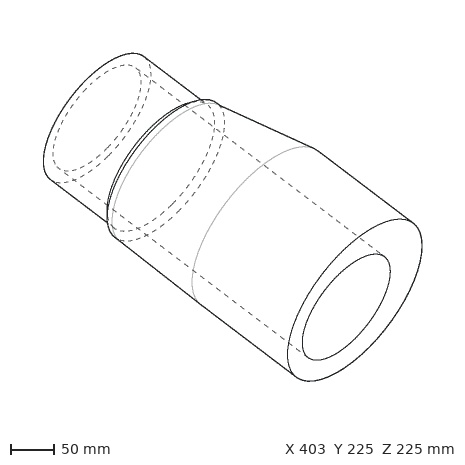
import cadquery as cq

total_length = 403.0
large_diameter = 225.0
small_diameter = 179.7
collar_diameter = 196.3
bore_diameter = 147.0

collar_start = 103.0
chamfer_length = 8.0
collar_length = 8.0
large_start = 248.5

chamfer_end = collar_start + chamfer_length
taper_start = chamfer_end + collar_length

small_axis_y = (collar_diameter - large_diameter) / 2


def circle_at(x, diameter, axis_y):
    """Circle facing +X, centred at the given station and axis."""
    return cq.Workplane("YZ", origin=(x, axis_y, 0)).circle(diameter / 2)


def cylinder(start, end, diameter, axis_y):
    return circle_at(start, diameter, axis_y).extrude(end - start)


def transition(start, end, start_diameter, end_diameter, start_y, end_y):
    """Straight-sided loft between two circles whose axes may differ."""
    start_wire = circle_at(start, start_diameter, start_y).wires().val()
    end_wire = circle_at(end, end_diameter, end_y).wires().val()
    return cq.Workplane(cq.Solid.makeLoft([start_wire, end_wire], True))


small_pipe = cylinder(0, collar_start, small_diameter, small_axis_y)
collar_chamfer = transition(
    collar_start, chamfer_end, small_diameter, collar_diameter, small_axis_y, small_axis_y
)
collar = cylinder(chamfer_end, taper_start, collar_diameter, small_axis_y)
taper = transition(taper_start, large_start, collar_diameter, large_diameter, small_axis_y, 0)
large_pipe = cylinder(large_start, total_length, large_diameter, 0)

body = small_pipe.union(collar_chamfer).union(collar).union(taper).union(large_pipe)

bore = cylinder(0, total_length, bore_diameter, small_axis_y)
result = body.cut(bore)